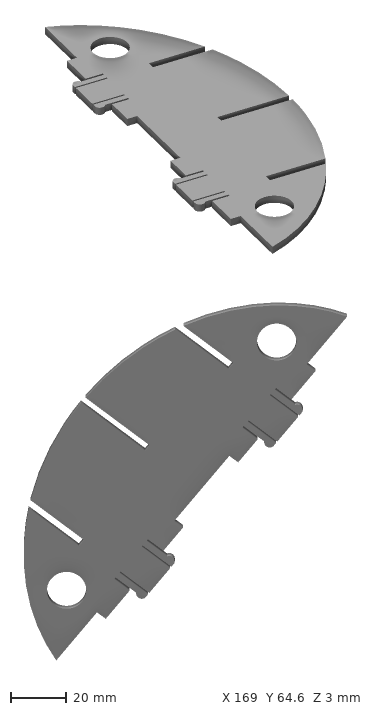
import cadquery as cq
import math

thickness = 3.0
half_span = 84.5
rise = 54.5
ellipse_half_height = 74.0
ellipse_center_y = rise - ellipse_half_height
ellipse_half_width = half_span / math.sqrt(1 - (ellipse_center_y / ellipse_half_height) ** 2)

overrun = 1.7

center_slot_width = 2.7
center_slot_floor = 25.0
side_slot_width = 3.0
side_slot_floor = 21.0
side_slot_x = 43.4

hole_x = 61.0
hole_y = 13.8
hole_diameter = 14.2

shoulder_inner_x = 16.0
shoulder_outer_x = 60.8
shoulder_depth = 4.0

tab_x = 37.2
tab_depth = 10.1
tongue_half_width = 6.0
arm_inner = 6.8
arm_outer = 9.0
relief_outer = 9.8
relief_top = 3.0
barb_start_depth = 6.5
barb_peak_depth = 8.3
barb_peak = 10.0
barb_end = 8.5


def rectangle(x_min, x_max, y_min, y_max):
    """Full-thickness block between the given X and Y limits."""
    block = cq.Workplane("XY").box(x_max - x_min, y_max - y_min, thickness, centered=False)
    return block.translate((x_min, y_min, 0))


def segment_plate():
    ellipse = cq.Workplane("XY").center(0, ellipse_center_y).ellipse(ellipse_half_width, ellipse_half_height)
    return ellipse.extrude(thickness).intersect(rectangle(-half_span, half_span, 0, rise + overrun))


def edge_slot(x, width, floor):
    return rectangle(x - width / 2, x + width / 2, floor, rise + overrun)


def snap_arm(x, side):
    """Flexible arm with its barb facing away from the tongue; side is -1 or 1."""
    outline = (
        cq.Workplane("XY")
        .moveTo(x + side * arm_inner, relief_top)
        .lineTo(x + side * arm_outer, relief_top)
        .lineTo(x + side * arm_outer, -barb_start_depth)
        .threePointArc((x + side * barb_peak, -barb_peak_depth), (x + side * barb_end, -tab_depth))
        .lineTo(x + side * arm_inner, -tab_depth)
        .close()
    )
    return outline.extrude(thickness)


def add_tab(body, side):
    """Shoulder, tongue and two snap arms on one half of the base edge."""
    x = side * tab_x
    inner, outer = sorted((side * shoulder_inner_x, side * shoulder_outer_x))
    body = body.union(rectangle(inner, outer, -shoulder_depth, 0))
    body = body.cut(rectangle(x - relief_outer, x + relief_outer, -tab_depth, relief_top))
    body = body.union(rectangle(x - tongue_half_width, x + tongue_half_width, -tab_depth, relief_top))
    for arm_side in (-1, 1):
        body = body.union(snap_arm(x, arm_side))
    return body


result = segment_plate()
result = result.cut(edge_slot(0, center_slot_width, center_slot_floor))
for side in (-1, 1):
    result = result.cut(edge_slot(side * side_slot_x, side_slot_width, side_slot_floor))
    hole = cq.Workplane("XY").center(side * hole_x, hole_y).circle(hole_diameter / 2)
    result = result.cut(hole.extrude(thickness))
    result = add_tab(result, side)